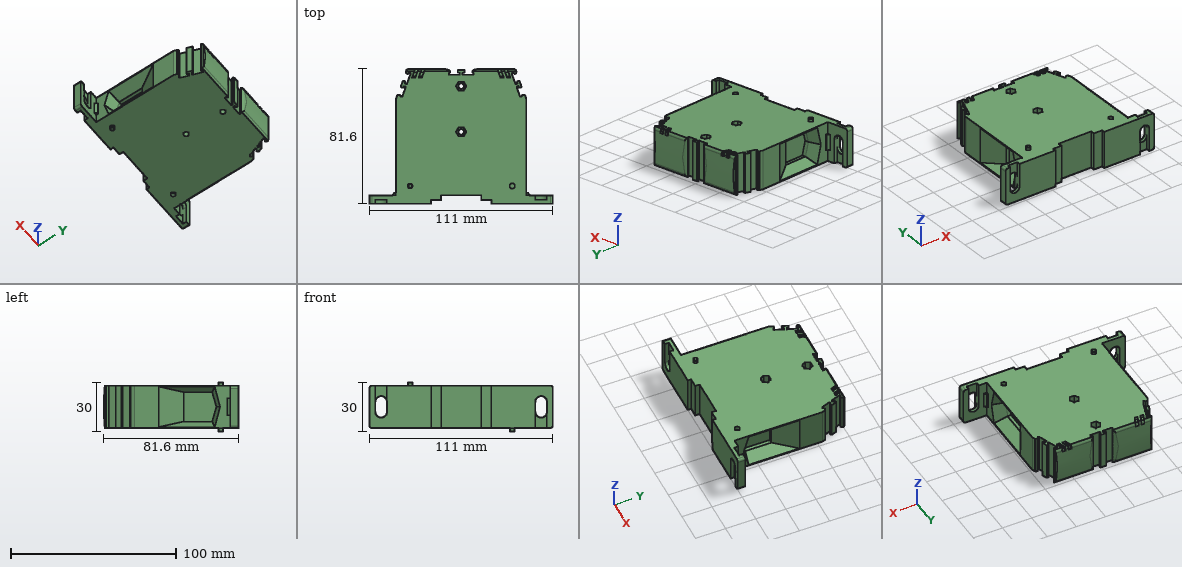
import cadquery as cq
import math

length = 111.0
height = 81.6
thickness = 25.8
half_length = length / 2
half_thickness = thickness / 2

foot_height = 5.1
foot_corner_radius = 1.5
notch_half_width = 12.1
notch_step_half_width = 18.2
notch_step_height = 2.2

housing_half_width = 39.5
shoulder_start = 63.3
shoulder_top = 65.9
shoulder_bevel = (38.8, 65.4)
shoulder_flat_outer_x = 38.3
shoulder_flat_inner_x = 37.1
shoulder_groove_y = 64.8
shoulder_groove_outer_x = 36.4
shoulder_groove_inner_x = 36.0
flank_angle = 20.0
flank_bottom = (35.6, 65.0)
flank_top_y = 78.4
flank_slope = math.tan(math.radians(flank_angle))

groove_floor = 78.1
groove_half_width = 7.4
cap_inner_x = 6.7
cap_inner_edge_y = 80.0
cap_inner_round = (7.8, 81.0)
cap_inner_round_end_x = 9.8
cap_inner_corner = (6.8, 79.5)
lip_root_x = 7.3
cap_outer_x = 33.5
cap_outer_edge_y = 79.9
cap_outer_shoulder = (33.2, 80.9)
cap_outer_top_x = 32.1
hook_root = (30.5, 78.9)
hook_ceiling_x = 31.6
hook_tip = (32.4, 78.5)
hook_round = (33.2, 79.0)
cap_edge_y = 80.3
cap_chamfer = 0.9
cap_blend_radius = 2.8
lip_underside = 79.1

stud_neck_half_width = 0.9
stud_neck_length = 1.1
stud_head_half_width = 2.1
stud_height = 2.9
stud_corner = 0.3
stud_root_overlap = 0.3
side_stud_y = 71.6

slit_width = 2.0
slit_pitch = 4.0
slit_bottom = (29.7, 76.4)
slit_ramp = 0.8
slit_depth = 1.0
slit_top_chamfer_start = 79.6
slit_count = 2

screw_ys = (43.5, 71.2)
screw_diameter = 3.3
nut_across_flats = 5.4
nut_depth = 5.5

pin_x = 30.9
pin_y = 10.8
pin_diameter = 2.9
pin_length = 2.1
pin_chamfer = 0.3
socket_diameter = 3.2
socket_depth = 2.8

slot_x = 48.4
slot_width = 6.9
slot_length = 12.9
channel_depth = 2.5

pocket_top = 48.2
pocket_corner = 14.4
pocket_apex = 11.2
pocket_half_width = 12.2
pocket_floor_top = 33.3
pocket_floor_corner = 16.0
pocket_floor_apex = 13.4
pocket_floor_half_width = 8.9
pocket_taper_depth = 8.4
pocket_straight_depth = 2.4

wedge_length = 2.0
wedge_flat = 0.8
wedge_height = 1.7
wedge_width = 10.2


def mirrored(half):
    """The half built on the +X side, joined with its mirror image."""
    return half.union(half.mirror("YZ"))


def flank_x(y):
    return flank_bottom[0] - (y - flank_bottom[1]) * flank_slope


def housing_half():
    """Constant outline of the +X half, including foot, flank and cap lips."""
    outline = (
        cq.Workplane("XY")
        .moveTo(0, foot_height)
        .lineTo(notch_half_width, foot_height)
        .lineTo(notch_half_width, notch_step_height)
        .lineTo(notch_step_half_width, notch_step_height)
        .lineTo(notch_step_half_width, 0)
        .lineTo(half_length, 0)
        .lineTo(half_length, foot_height)
        .lineTo(housing_half_width, foot_height)
        .lineTo(housing_half_width, shoulder_start)
        .lineTo(*shoulder_bevel)
        .lineTo(shoulder_flat_outer_x, shoulder_top)
        .lineTo(shoulder_flat_inner_x, shoulder_top)
        .lineTo(shoulder_groove_outer_x, shoulder_groove_y)
        .lineTo(shoulder_groove_inner_x, shoulder_groove_y)
        .lineTo(*flank_bottom)
        .lineTo(flank_x(flank_top_y), flank_top_y)
        .lineTo(*hook_root)
        .lineTo(hook_ceiling_x, lip_underside)
        .lineTo(*hook_tip)
        .threePointArc(hook_round, (cap_outer_x, cap_outer_edge_y))
        .lineTo(*cap_outer_shoulder)
        .lineTo(cap_outer_top_x, height)
        .lineTo(cap_inner_round_end_x, height)
        .threePointArc(cap_inner_round, (cap_inner_x, cap_inner_edge_y))
        .lineTo(*cap_inner_corner)
        .lineTo(lip_root_x, lip_underside)
        .lineTo(groove_half_width, groove_floor)
        .lineTo(0, groove_floor)
        .close()
    )
    return outline.extrude(half_thickness, both=True)


def crown():
    """Envelope that domes the caps and blends the dome into a chamfer along each long edge."""
    dome_edge_y = cap_edge_y + cap_chamfer
    dome_edge_z = half_thickness - cap_chamfer
    envelope = (
        cq.Workplane("YZ")
        .moveTo(0, -half_thickness)
        .lineTo(cap_edge_y, -half_thickness)
        .lineTo(dome_edge_y, -dome_edge_z)
        .threePointArc((height, 0), (dome_edge_y, dome_edge_z))
        .lineTo(cap_edge_y, half_thickness)
        .lineTo(0, half_thickness)
        .close()
        .extrude(half_length, both=True)
    )
    ridges = cq.selectors.BoxSelector(
        (-half_length, dome_edge_y - cap_chamfer / 2, -half_thickness),
        (half_length, height, half_thickness),
    )
    return envelope.edges("|X").edges(ridges).fillet(cap_blend_radius)


def stud(x, y, angle):
    """T-shaped stud rising from (x, y), turned about Z by the angle."""
    half = (
        cq.Workplane("XY")
        .moveTo(0, -stud_root_overlap)
        .lineTo(stud_neck_half_width, -stud_root_overlap)
        .lineTo(stud_neck_half_width, stud_neck_length)
        .lineTo(stud_head_half_width - stud_corner, stud_neck_length)
        .lineTo(stud_head_half_width, stud_neck_length + stud_corner)
        .lineTo(stud_head_half_width, stud_height - stud_corner)
        .lineTo(stud_head_half_width - stud_corner, stud_height)
        .lineTo(0, stud_height)
        .close()
        .extrude(half_thickness, both=True)
    )
    return mirrored(half).rotate((0, 0, 0), (0, 0, 1), angle).translate((x, y, 0))


def wedge():
    root = housing_half_width
    return (
        cq.Workplane("XY")
        .moveTo(root, foot_height)
        .lineTo(root + wedge_length, foot_height)
        .lineTo(root + wedge_flat, foot_height + wedge_height)
        .lineTo(root, foot_height + wedge_height)
        .close()
        .extrude(wedge_width / 2, both=True)
    )


def pocket_outline(x, top, corner, apex, half_width):
    """Five-sided outline, pointed toward the feet, on a plane of constant X."""
    points = [
        (top, half_width),
        (corner, half_width),
        (apex, 0),
        (corner, -half_width),
        (top, -half_width),
    ]
    return cq.Workplane("YZ", origin=(x, 0, 0)).polyline(points).close()


def side_pocket():
    """Pocket that tapers inward and ends in a short straight-walled recess."""
    taper_end = housing_half_width - pocket_taper_depth
    floor_size = (
        pocket_floor_top, pocket_floor_corner, pocket_floor_apex, pocket_floor_half_width
    )
    mouth = pocket_outline(
        housing_half_width, pocket_top, pocket_corner, pocket_apex, pocket_half_width
    ).wires().val()
    throat = pocket_outline(taper_end, *floor_size).wires().val()
    taper = cq.Workplane(cq.Solid.makeLoft([mouth, throat], True))
    return taper.union(pocket_outline(taper_end, *floor_size).extrude(-pocket_straight_depth))


def slit(index):
    """Slanted slit in the +Z face, ramped at its foot and running out through the crown."""
    floor = half_thickness - slit_depth
    base_x, base_y = slit_bottom
    left = base_x - index * slit_pitch
    run = (height - base_y) * flank_slope
    chamfer_drop = height - slit_top_chamfer_start
    strip = (
        cq.Workplane("XY")
        .polyline([
            (left, base_y),
            (left - slit_width, base_y),
            (left - slit_width - run, height),
            (left - run, height),
        ])
        .close()
        .extrude(half_thickness)
    )
    side = (
        cq.Workplane("YZ")
        .polyline([
            (base_y, half_thickness),
            (base_y + slit_ramp, floor),
            (slit_top_chamfer_start, floor),
            (height, floor - chamfer_drop),
            (height, half_thickness),
        ])
        .close()
        .extrude(half_length)
    )
    return strip.intersect(side)


def foot_slot():
    """Through slot in the -X foot, with an open channel on each side of the foot."""
    slot = (
        cq.Workplane("XZ", origin=(-slot_x, 0, 0))
        .slot2D(slot_length, slot_width, 90)
        .extrude(-foot_height)
    )
    channel = cq.Workplane("XY").box(
        slot_width, channel_depth, half_thickness, centered=(True, False, False)
    )
    lower = channel.translate((-slot_x, 0, 0))
    upper = channel.translate((-slot_x, foot_height - channel_depth, -half_thickness))
    return slot.union(lower).union(upper)


def pin_and_socket():
    """Chamfered pin at -X and socket at +X, both on the +Z face."""
    pin_base = cq.Workplane("XY", origin=(-pin_x, pin_y, half_thickness))
    pin = pin_base.circle(pin_diameter / 2).extrude(pin_length)
    pin = pin.faces(">Z").chamfer(pin_chamfer)
    socket_mouth = cq.Workplane("XY", origin=(pin_x, pin_y, half_thickness))
    socket = socket_mouth.circle(socket_diameter / 2).extrude(-socket_depth)
    return pin, socket


def half_turn(shape):
    """Copy of the shape turned half a revolution about the Y axis."""
    return shape.rotate((0, 0, 0), (0, 1, 0), 180)


result = mirrored(housing_half())
result = result.edges("|Y and (<X or >X)").fillet(foot_corner_radius)
result = result.intersect(crown())

result = result.union(stud(0, groove_floor, 0))
result = result.union(mirrored(stud(flank_x(side_stud_y), side_stud_y, flank_angle - 90)))
result = result.union(mirrored(wedge()))

result = result.cut(mirrored(side_pocket()))
for slit_index in range(slit_count):
    for one_slit in (slit(slit_index), slit(slit_index).mirror("YZ")):
        result = result.cut(one_slit)

nut_corner_diameter = nut_across_flats / math.cos(math.pi / 6)
for screw_y in screw_ys:
    center = cq.Workplane("XY", origin=(0, screw_y, half_thickness))
    result = result.cut(center.circle(screw_diameter / 2).extrude(-thickness))
    result = result.cut(center.polygon(6, nut_corner_diameter).extrude(-nut_depth))

pin, socket = pin_and_socket()
for feature in (foot_slot(), socket):
    result = result.cut(feature).cut(half_turn(feature))
result = result.union(pin).union(half_turn(pin))